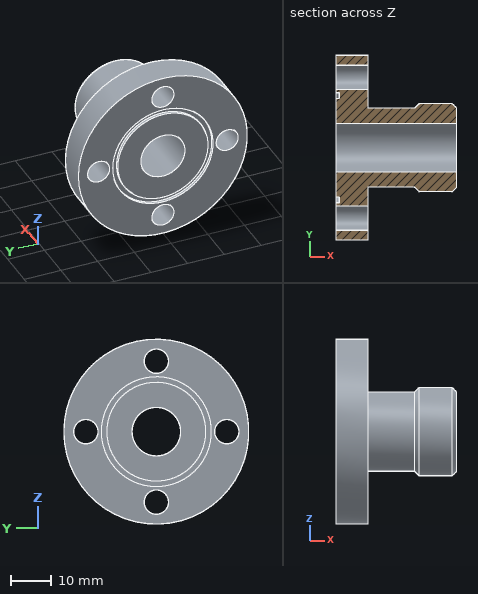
import cadquery as cq

flange_diameter = 46.0
flange_thickness = 8.0
total_length = 30.0

neck_diameter = 19.8
collar_diameter = 22.0
collar_start = 19.55
collar_chamfer = (collar_diameter - neck_diameter) / 2

bore_diameter = 12.0
bolt_hole_count = 4
bolt_hole_diameter = 6.0
bolt_circle_diameter = 35.0
groove_outer_diameter = 27.32
groove_inner_diameter = 24.55
groove_depth = 0.8


def disc(diameter, start, end):
    """Cylinder on the X axis between two X positions."""
    return cq.Workplane("YZ", origin=(start, 0, 0)).circle(diameter / 2).extrude(end - start)


flange = disc(flange_diameter, 0, flange_thickness)
neck = disc(neck_diameter, 0, total_length)
collar = disc(collar_diameter, collar_start, total_length).edges().chamfer(collar_chamfer)
body = flange.union(neck).union(collar)

bore = disc(bore_diameter, 0, total_length)

bolt_holes = (
    cq.Workplane("YZ")
    .polarArray(bolt_circle_diameter / 2, 0, 360, bolt_hole_count)
    .circle(bolt_hole_diameter / 2)
    .extrude(flange_thickness)
)

groove = disc(groove_outer_diameter, 0, groove_depth).cut(disc(groove_inner_diameter, 0, groove_depth))

result = body.cut(bore).cut(bolt_holes).cut(groove)